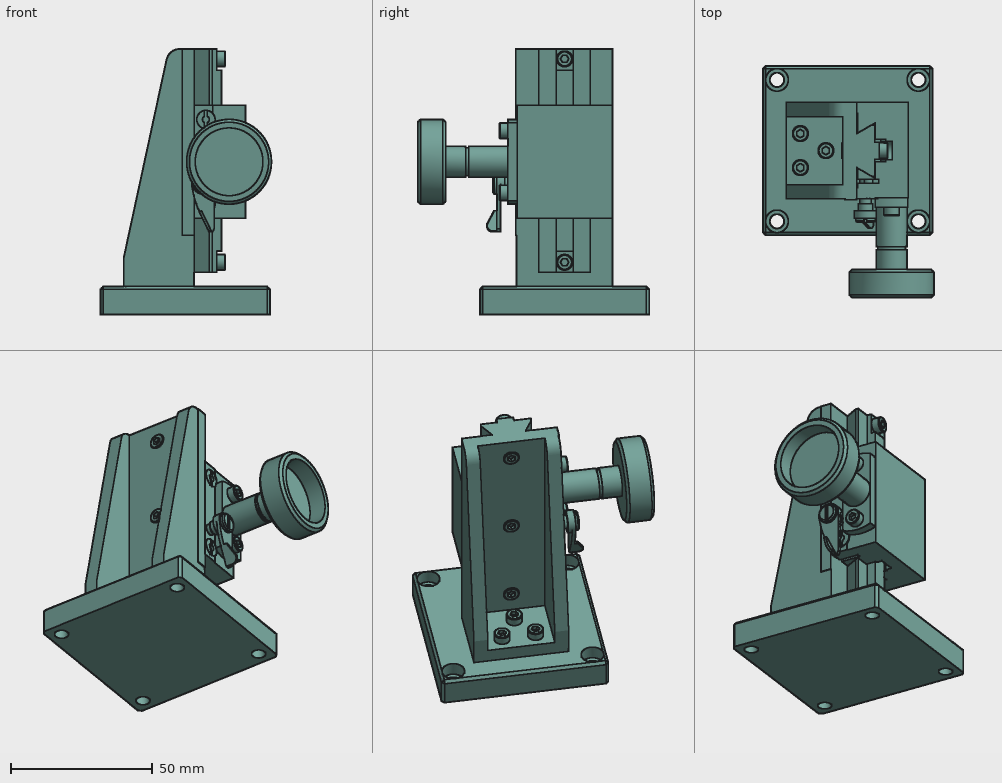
import cadquery as cq
import math


base_side = 60.0
base_height = 10.0
base_chamfer = 1.0
mount_hole_offset = 25.0
mount_hole_dia = 5.0
mount_bore_dia = 8.0
mount_bore_depth = 5.0

total_height = 94.0
bracket_width = 34.0
bracket_back_x = -21.8
bracket_face_x = 3.2
plate_thickness = 5.0
bracket_round = 5.0
toe_height = 10.0
flange_lean = math.radians(12.3)
foot_top_z = base_height + plate_thickness
wall_x = bracket_face_x - plate_thickness
pocket_width = bracket_width - 2 * plate_thickness

strip_height = 66.0
strip_width = 4.2
strip_thickness = 0.3

throat_half = 6.0
dovetail_slope = math.tan(math.radians(30))
rail_top_x = 9.5
rail_edge_flat = 1.0
rail_end_x = 11.2
rack_top_x = 12.9
rack_half = 3.0
rack_end_length = 7.5
stop_screw_inset = 3.6

head_dia = 5.5
head_height = 3.0
head_chamfer = 0.3
hex_corners = 2.9
hex_depth = 1.5
foot_screw_back_x = -16.7
foot_screw_front_x = -7.7
foot_screw_y = 6.0
wall_screw_rise = 0.4
wall_screw_mid_z = 54.4
wall_screw_pitch = 32.1

carriage_width = bracket_width
carriage_face_x = 21.3
carriage_mid_z = 54.05
carriage_height = 40.0
carriage_bottom_z = carriage_mid_z - carriage_height / 2
carriage_top_z = carriage_mid_z + carriage_height / 2
slide_gap = 0.3
relief_half = 13.2
channel_half = 3.95
channel_floor_x = 13.5
notch_dia = 6.5
notch_floor_x = 15.8
slit_y = -10.9
slit_width = 1.4
slit_end_x = 10.9
side_y = -carriage_width / 2
side_step_x = 9.7
side_step_depth = 0.3

gib_screw_x = 7.3
gib_screw_rise = 14.9
gib_head_dia = 6.5
gib_head_proud = 0.1
gib_slot_width = 1.0
gib_slot_depth = 1.0
gib_center_dia = 2.4
gib_shank_dia = 3.0

drive_x = 15.5
pinion_dia = 7.5
pinion_neck_dia = 5.0
pinion_neck_half = 3.2
flange_dia = 30.0
flange_width = 11.5
flange_outer_y = -20.0
flange_screw_offset = 11.0
shaft_dia = 11.0
groove_dia = 10.0
groove_y = -33.9
groove_width = 1.0
knob_dia = 30.1
knob_length = 10.0
knob_outer_y = -52.0
knob_chamfer = 1.0
knob_recess_dia = 24.0
knob_recess_depth = 6.5

clamp_x = 6.3
clamp_z = 46.1
stem_dia = 4.0
sleeve_dia = 5.0
collar_dia = 8.0
cap_dia = 7.0
sleeve_y = -18.7
collar_y = -21.2
collar_end_y = -24.0
cap_end_y = -25.4
cap_chamfer = 0.6
cap_slot_width = 1.0
cap_slot_depth = 1.0
lever_thickness = 1.3
lever_tip_z = 29.2
lever_tip_x = 8.5
lever_edge_x = 3.2
lever_edge_z = 41.4
lever_corner = 1.2
tab_start_x = 5.0
tab_start_z = 36.4
tab_thickness = 0.8
tab_reach = 4.8
tab_root = 2.35
tab_taper_end = 2.7
tab_tip_drop = 1.5


def block(x_range, y_range, z_range):
    """Axis-aligned box between pairs of coordinates."""
    size = [high - low for low, high in (x_range, y_range, z_range)]
    corner = (x_range[0], y_range[0], z_range[0])
    return cq.Workplane("XY").box(*size, centered=False).translate(corner)


def side_rod(x, z, diameter, y_start, y_end):
    """Cylinder parallel to Y, running from y_start outward to the more negative y_end."""
    plane = cq.Plane(origin=(x, y_start, z), xDir=(1, 0, 0), normal=(0, -1, 0))
    return cq.Workplane(plane).circle(diameter / 2).extrude(y_start - y_end)


def add_screw(body, point, x_dir, normal, height=head_height):
    """Add a hex-socket cap head that stands on a face; one socket corner points along x_dir."""
    place = cq.Location(cq.Plane(origin=point, xDir=x_dir, normal=normal))
    head = cq.Workplane("XY").circle(head_dia / 2).extrude(height).faces(">Z").chamfer(head_chamfer)
    socket = cq.Workplane("XY").workplane(offset=height).polygon(6, hex_corners).extrude(-hex_depth)
    placed_head = cq.Workplane(head.val().located(place))
    placed_socket = cq.Workplane(socket.val().located(place))
    return body.union(placed_head).cut(placed_socket)


def dovetail_half(x):
    """Half width of the dovetail at a given X."""
    return throat_half + (x - bracket_face_x) * dovetail_slope


def make_base():
    base = (
        cq.Workplane("XY")
        .rect(base_side, base_side)
        .extrude(base_height)
        .edges("|Z or >Z")
        .chamfer(base_chamfer)
    )
    pitch = 2 * mount_hole_offset
    return (
        base.faces(">Z")
        .workplane(origin=(0, 0, base_height))
        .rect(pitch, pitch, forConstruction=True)
        .vertices()
        .cboreHole(mount_hole_dia, mount_bore_dia, mount_bore_depth)
    )


def make_bracket():
    toe_z = base_height + toe_height
    arc_center = (wall_x, total_height - bracket_round)
    lean_cos = math.cos(flange_lean)
    lean_sin = math.sin(flange_lean)
    arc_start = (arc_center[0] - bracket_round * lean_cos, arc_center[1] + bracket_round * lean_sin)
    mid_angle = (math.pi / 2 + math.pi - flange_lean) / 2
    arc_mid = (
        arc_center[0] + bracket_round * math.cos(mid_angle),
        arc_center[1] + bracket_round * math.sin(mid_angle),
    )
    bracket = (
        cq.Workplane("XZ")
        .moveTo(bracket_face_x, base_height)
        .lineTo(bracket_back_x, base_height)
        .lineTo(bracket_back_x, toe_z)
        .lineTo(*arc_start)
        .threePointArc(arc_mid, (wall_x, total_height))
        .lineTo(bracket_face_x, total_height)
        .close()
        .extrude(bracket_width / 2, both=True)
    )
    pocket = block(
        (bracket_back_x, wall_x),
        (-pocket_width / 2, pocket_width / 2),
        (foot_top_z, total_height),
    )
    strip = block(
        (bracket_face_x - strip_width, bracket_face_x),
        (side_y - strip_thickness, side_y),
        (total_height - strip_height, total_height),
    )
    return bracket.cut(pocket).union(strip)


def make_rail():
    flat_x = rail_top_x - rail_edge_flat
    edge_half = dovetail_half(flat_x)
    rail = (
        cq.Workplane("XY")
        .workplane(offset=foot_top_z)
        .polyline([
            (bracket_face_x, -throat_half),
            (flat_x, -edge_half),
            (rail_top_x, -edge_half),
            (rail_top_x, edge_half),
            (flat_x, edge_half),
            (bracket_face_x, throat_half),
        ])
        .close()
        .extrude(total_height - foot_top_z)
    )
    rack_width = (-rack_half, rack_half)
    rack_ends = block((rail_top_x, rail_end_x), rack_width, (foot_top_z, total_height))
    rack = block(
        (rail_top_x, rack_top_x),
        rack_width,
        (foot_top_z + rack_end_length, total_height - rack_end_length),
    )
    rail = rail.union(rack_ends).union(rack)
    for z in (foot_top_z + stop_screw_inset, total_height - stop_screw_inset):
        rail = add_screw(rail, (rail_end_x, 0, z), (0, 1, 0), (1, 0, 0))
    return rail


def make_stand():
    stand = make_base().union(make_bracket()).union(make_rail())
    foot_screws = [
        (foot_screw_back_x, foot_screw_y),
        (foot_screw_back_x, -foot_screw_y),
        (foot_screw_front_x, 0),
    ]
    for x, y in foot_screws:
        stand = add_screw(stand, (x, y, foot_top_z), (0, 1, 0), (0, 0, 1))
    for step in (-1, 0, 1):
        point = (wall_x, 0, wall_screw_mid_z + step * wall_screw_pitch)
        stand = add_screw(stand, point, (0, 0, 1), (-1, 0, 0), wall_screw_rise)
    return stand


def make_slide_block():
    z_range = (carriage_bottom_z, carriage_top_z)
    slide = block((bracket_face_x, carriage_face_x), (side_y, -side_y), z_range)

    slot_floor_x = rail_top_x + slide_gap
    slot_half = dovetail_half(slot_floor_x)
    dovetail_slot = (
        cq.Workplane("XY")
        .workplane(offset=carriage_bottom_z)
        .polyline([
            (bracket_face_x, -throat_half),
            (slot_floor_x, -slot_half),
            (slot_floor_x, slot_half),
            (bracket_face_x, throat_half),
        ])
        .close()
        .extrude(carriage_height)
    )
    relief = block(
        (bracket_face_x, bracket_face_x + slide_gap), (-relief_half, relief_half), z_range
    )
    channel = block((bracket_face_x, channel_floor_x), (-channel_half, channel_half), z_range)
    slit = block(
        (bracket_face_x, slit_end_x),
        (slit_y - slit_width / 2, slit_y + slit_width / 2),
        z_range,
    )
    side_step = block((side_step_x, carriage_face_x), (side_y, side_y + side_step_depth), z_range)
    for cutter in (dovetail_slot, relief, channel, slit, side_step):
        slide = slide.cut(cutter)

    for z in z_range:
        notch = (
            cq.Workplane("YZ")
            .workplane(offset=bracket_face_x)
            .center(0, z)
            .circle(notch_dia / 2)
            .extrude(notch_floor_x - bracket_face_x)
        )
        slide = slide.cut(notch)
    return slide


def add_gib_screws(slide):
    """Slotted adjusting screws in the side face, with shanks that cross the gib slit."""
    face_y = side_y - gib_head_proud
    slot_half = gib_slot_width / 2
    for z in (carriage_mid_z - gib_screw_rise, carriage_mid_z + gib_screw_rise):
        slot = block(
            (gib_screw_x - slot_half, gib_screw_x + slot_half),
            (face_y, face_y + gib_slot_depth),
            (z - gib_head_dia / 2, z + gib_head_dia / 2),
        )
        center = side_rod(gib_screw_x, z, gib_center_dia, face_y + gib_slot_depth, face_y)
        head = side_rod(gib_screw_x, z, gib_head_dia, face_y + gib_slot_depth, face_y)
        shank = side_rod(gib_screw_x, z, gib_shank_dia, slit_y + slit_width, slit_y - slit_width)
        slide = slide.union(head).union(shank).cut(slot).cut(center)
    return slide


def make_drive():
    """The pinion inside the block, and outside it the bearing flange, shaft sleeve and hand knob."""
    step_y = side_y + side_step_depth
    knob_y = knob_outer_y + knob_length
    pinion = side_rod(drive_x, carriage_mid_z, pinion_dia, channel_half, -channel_half)
    neck_gap = side_rod(drive_x, carriage_mid_z, pinion_dia, pinion_neck_half, -pinion_neck_half)
    neck = side_rod(drive_x, carriage_mid_z, pinion_neck_dia, pinion_neck_half, -pinion_neck_half)
    pinion = pinion.cut(neck_gap).union(neck)

    flange = side_rod(drive_x, carriage_mid_z, flange_dia, step_y, flange_outer_y)
    flange = flange.intersect(
        block(
            (drive_x - flange_width / 2, drive_x + flange_width / 2),
            (flange_outer_y, step_y),
            (carriage_mid_z - flange_dia / 2, carriage_mid_z + flange_dia / 2),
        )
    )
    sleeve = side_rod(drive_x, carriage_mid_z, shaft_dia, flange_outer_y, groove_y)
    groove = side_rod(drive_x, carriage_mid_z, groove_dia, groove_y, groove_y - groove_width)
    hub = side_rod(drive_x, carriage_mid_z, shaft_dia, groove_y - groove_width, knob_y)
    knob = side_rod(drive_x, carriage_mid_z, knob_dia, knob_y, knob_outer_y)
    knob = knob.faces("|Y").chamfer(knob_chamfer)
    recess = side_rod(
        drive_x, carriage_mid_z, knob_recess_dia, knob_outer_y + knob_recess_depth, knob_outer_y
    )
    drive = flange.union(sleeve).union(groove).union(hub).union(knob.cut(recess))
    for offset in (-flange_screw_offset, flange_screw_offset):
        point = (drive_x, flange_outer_y, carriage_mid_z + offset)
        drive = add_screw(drive, point, (0, 0, 1), (0, -1, 0))
    return pinion, drive


def make_lever():
    """Flat clamping lever with a finger tab bent outward along its slanted edge."""
    hub_radius = collar_dia / 2
    right_x = clamp_x + hub_radius
    plate = (
        cq.Workplane("XZ", origin=(0, collar_end_y + lever_thickness, 0))
        .moveTo(clamp_x - hub_radius, clamp_z)
        .threePointArc((clamp_x, clamp_z + hub_radius), (right_x, clamp_z))
        .lineTo(right_x, lever_tip_z + lever_corner)
        .lineTo(right_x - lever_corner / 2, lever_tip_z)
        .lineTo(lever_tip_x, lever_tip_z)
        .lineTo(tab_start_x, tab_start_z)
        .threePointArc((lever_edge_x, lever_edge_z), (clamp_x - hub_radius, clamp_z))
        .close()
        .extrude(lever_thickness)
    )
    run = lever_tip_x - tab_start_x
    drop = tab_start_z - lever_tip_z
    tab_length = math.hypot(run, drop)
    tab_plane = cq.Plane(
        origin=(tab_start_x, collar_end_y + lever_thickness, tab_start_z),
        xDir=(run, 0, -drop),
        normal=(drop, 0, run),
    )
    tab = (
        cq.Workplane(tab_plane)
        .lineTo(0, -tab_root)
        .lineTo(tab_length - tab_taper_end, -tab_reach)
        .threePointArc(
            (tab_length - tab_taper_end / 3, -tab_reach + tab_tip_drop / 4),
            (tab_length, -tab_reach + tab_tip_drop),
        )
        .lineTo(tab_length, 0)
        .close()
        .extrude(tab_thickness)
    )
    return plate.union(tab)


def make_clamp():
    """Slotted clamping screw built up from stepped cylinders, carrying the lever."""
    stem = side_rod(clamp_x, clamp_z, stem_dia, slit_y + slit_width, sleeve_y)
    sleeve = side_rod(clamp_x, clamp_z, sleeve_dia, sleeve_y, collar_y)
    collar = side_rod(clamp_x, clamp_z, collar_dia, collar_y, collar_end_y)
    cap = side_rod(clamp_x, clamp_z, cap_dia, collar_end_y, cap_end_y).faces("<Y").chamfer(cap_chamfer)
    slot = block(
        (clamp_x - cap_slot_width / 2, clamp_x + cap_slot_width / 2),
        (cap_end_y, cap_end_y + cap_slot_depth),
        (clamp_z - cap_dia / 2, clamp_z + cap_dia / 2),
    )
    return stem.union(sleeve).union(collar).union(cap.cut(slot)).union(make_lever())


def make_carriage():
    pinion, drive = make_drive()
    return add_gib_screws(make_slide_block()).union(pinion).union(drive).union(make_clamp())


stand = make_stand()
carriage = make_carriage()
result = cq.Compound.makeCompound([stand.val(), carriage.val()])